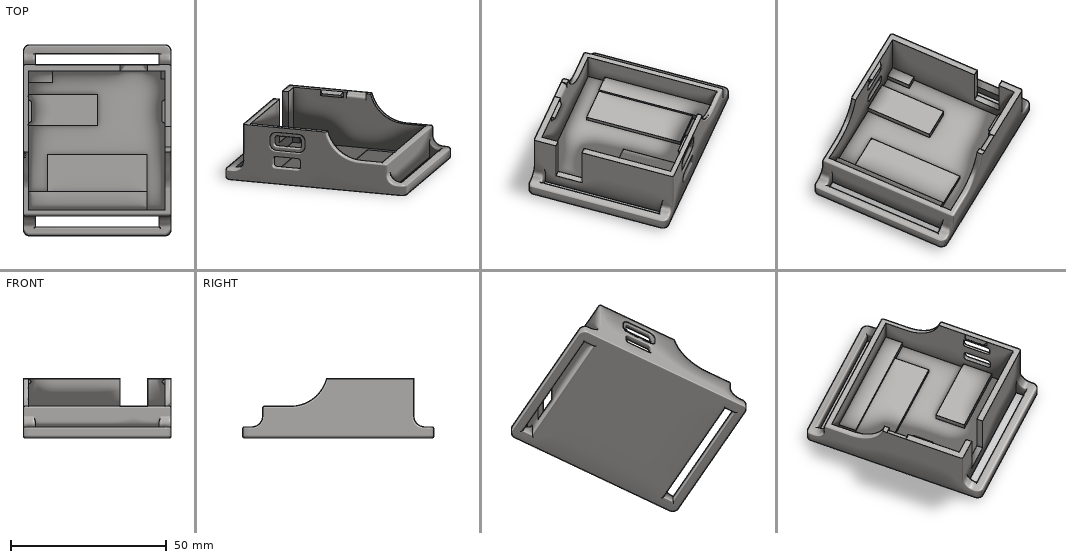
import cadquery as cq
import math

width = 47.45
length = 61.4
height = 19.1
half_width = width / 2
half_length = length / 2

tolerance = 0.03

bar_height = 3.6
slot_width = 3.45
bar_width = 2.95
slot_outer = half_length - bar_width
body_half_length = slot_outer - slot_width
low_wall_height = 10.25
scoop_radius = 11.85
scoop_start_y = -15.2
corner_radius = 2.1
edge_radius = 0.7

slot_half_span = 19.8

floor_thickness = 1.0
end_wall = 2.0
left_wall = 1.6
right_wall = 2.0
cavity_left = -half_width + left_wall
cavity_right = half_width - right_wall
cavity_half_length = body_half_length - end_wall

pad_height = 1.85
low_pad_height = 1.2
left_pad_end = 0.1
left_pad_front = 4.85
left_pad_rear = 14.8
left_corner_pad_end = -14.35
left_corner_pad_front = 18.65
right_corner_pad_start = 20.5
right_corner_pad_front = 19.75
front_pads_half_width = 15.95
front_pad_rear = -16.45
low_pad_rear = -4.6

notch_left = 7.35
notch_right = 16.2
notch_floor = 4.6

rim_radius = 0.5
window_corner = 1.0
lower_window_center = (9.7, 7.4)
lower_window_size = (9.2, 3.6)
upper_window_center = (9.45, 14.3)
upper_window_size = (9.15, 3.45)
recess_size = (11.85, 6.1)
recess_corner = 2.2
recess_depth = 0.505

snap_center_y = 9.25
snap_tip_length = 6.25
snap_taper = 0.75
snap_reach = 1.0
snap_center_z = height - snap_reach

relief_front = -2.15
relief_rear = 4.4


def box(x_range, y_range, z_range):
    """Axis-aligned block between the given limits."""
    size = [high - low for low, high in (x_range, y_range, z_range)]
    corner = cq.Vector(x_range[0], y_range[0], z_range[0])
    return cq.Workplane(cq.Solid.makeBox(*size, corner))


def point_on_circle(center_y, center_z, radius, angle):
    """Point on a circle in the YZ plane at an angle in degrees."""
    turn = math.radians(angle)
    return (center_y + radius * math.cos(turn), center_z + radius * math.sin(turn))


def outer_body():
    """Side outline swept across the width, with its outer edges rounded."""
    arc_top = bar_height + slot_width
    scoop_center_z = low_wall_height + scoop_radius
    scoop_drop = scoop_center_z - height
    scoop_top_y = scoop_start_y + math.sqrt(scoop_radius**2 - scoop_drop**2)
    scoop_end_angle = -math.degrees(math.asin(scoop_drop / scoop_radius))
    scoop_mid_angle = (scoop_end_angle - 90) / 2
    body = (
        cq.Workplane("YZ", origin=(-half_width, 0, 0))
        .moveTo(-half_length, 0)
        .lineTo(half_length, 0)
        .lineTo(half_length, bar_height)
        .lineTo(slot_outer, bar_height)
        .threePointArc(point_on_circle(slot_outer, arc_top, slot_width, 225), (body_half_length, arc_top))
        .lineTo(body_half_length, height)
        .lineTo(scoop_top_y, height)
        .threePointArc(
            point_on_circle(scoop_start_y, scoop_center_z, scoop_radius, scoop_mid_angle),
            (scoop_start_y, low_wall_height),
        )
        .lineTo(-body_half_length, low_wall_height)
        .lineTo(-body_half_length, arc_top)
        .threePointArc(point_on_circle(-slot_outer, arc_top, slot_width, -45), (-slot_outer, bar_height))
        .lineTo(-half_length, bar_height)
        .close()
        .extrude(width)
    )
    body = body.faces("<Y or >Y").edges("|Z").fillet(corner_radius)
    side_edges = body.faces("<X or >X").edges("not(|Z and (<Y or >Y))")
    rounded = [edge for edge in side_edges.vals() if is_rounded_side_edge(edge)]
    rounded += body.faces("<Z").edges("|X").vals()
    rounded += body.faces("<Y or >Y").edges("|X and >Z").vals()
    front_wall_edge = cq.selectors.NearestToPointSelector((0, -body_half_length, low_wall_height))
    rounded += body.edges(front_wall_edge).vals()
    return body.newObject(rounded).fillet(edge_radius)


def is_rounded_side_edge(edge):
    """True for side edges other than the rim and the seams of the plan corners."""
    center = edge.Center()
    on_rim = center.z > height - tolerance
    beside_corner = abs(center.y) > half_length - corner_radius - tolerance
    between_bar_faces = tolerance < center.z < bar_height - tolerance
    on_corner_seam = beside_corner and between_bar_faces
    return not on_rim and not on_corner_seam


def slab(body, y_range):
    """Piece of the body between two Y limits."""
    return body.intersect(box((-half_width, half_width), y_range, (0, height)))


def open_strap_slots(body):
    """Open a slot at each end, keeping a bar outside it, and round the edges a strap runs over."""
    slot_ceiling = low_wall_height - 2 * edge_radius
    ears = body
    for side in (-1, 1):
        limits = sorted((side * (body_half_length - end_wall / 2), side * half_length))
        ears = ears.cut(box((-slot_half_span, slot_half_span), limits, (0, slot_ceiling)))
    ear_edges = [edge for edge in ears.edges("%CIRCLE").vals()
                 if math.isclose(abs(edge.Center().x), slot_half_span)]
    ears = ears.newObject(ear_edges).fillet(edge_radius)
    core = slab(body, (-body_half_length, body_half_length))
    rear_bar = slab(body, (slot_outer, half_length))
    front_bar = slab(body, (-half_length, -slot_outer))
    front_bar = front_bar.faces(">Y").edges(">Z").fillet(edge_radius)
    slotted = ears.union(core).union(rear_bar).union(front_bar).clean()
    slot_rims = [edge for rim in slotted.faces("<Z").val().innerWires() for edge in rim.Edges()]
    return slotted.newObject(slot_rims).fillet(edge_radius)


def cut_window(body, center, size, corner, surface_x, depth):
    """Rounded window cut inward from surface_x, with a rounded-over rim."""
    cutter = (
        cq.Workplane("YZ", origin=(surface_x, *center))
        .rect(*size)
        .extrude(depth)
        .edges("|X")
        .fillet(corner)
    )
    opened = body.cut(cutter)
    reach_y = size[0] / 2 + tolerance
    reach_z = size[1] / 2 + tolerance
    rim = opened.edges(cq.selectors.BoxSelector(
        (surface_x - tolerance, center[0] - reach_y, center[1] - reach_z),
        (surface_x + tolerance, center[0] + reach_y, center[1] + reach_z),
        boundingbox=True,
    ))
    return rim.fillet(rim_radius)


def snap_ridge(wall_x, inward):
    """Triangular ridge with tapered ends, pointing inward from a wall."""
    tip_x = wall_x + inward * snap_reach
    half_tip = snap_tip_length / 2
    half_base = half_tip + snap_taper
    section = (
        cq.Workplane("XZ", origin=(0, snap_center_y + half_base, 0))
        .polyline([
            (wall_x, snap_center_z - snap_reach),
            (tip_x, snap_center_z),
            (wall_x, snap_center_z + snap_reach),
        ])
        .close()
        .extrude(2 * half_base)
    )
    plan = (
        cq.Workplane("XY")
        .polyline([
            (wall_x, snap_center_y - half_base),
            (tip_x, snap_center_y - half_tip),
            (tip_x, snap_center_y + half_tip),
            (wall_x, snap_center_y + half_base),
        ])
        .close()
        .extrude(height)
    )
    return section.intersect(plan)


def floor_pads():
    """Raised pads on the cavity floor."""
    placements = (
        ((cavity_left, left_pad_end), (left_pad_front, left_pad_rear), pad_height),
        ((cavity_left, left_corner_pad_end), (left_corner_pad_front, cavity_half_length), pad_height),
        ((right_corner_pad_start, cavity_right), (right_corner_pad_front, cavity_half_length), pad_height),
        ((-front_pads_half_width, front_pads_half_width), (front_pad_rear, low_pad_rear), low_pad_height),
        ((cavity_left, front_pads_half_width), (-cavity_half_length, front_pad_rear), pad_height),
    )
    return [box(x_range, y_range, (floor_thickness, floor_thickness + rise))
            for x_range, y_range, rise in placements]


def rim_relief():
    """Waste that leaves a quarter-round top on the right wall, falling towards the cavity."""
    root_z = height - right_wall
    block = box((cavity_right, half_width), (relief_front, relief_rear), (root_z, height))
    kept_round = (
        cq.Workplane("XZ", origin=(half_width, relief_rear, root_z))
        .circle(right_wall)
        .extrude(relief_rear - relief_front)
    )
    return block.cut(kept_round)


cavity = box(
    (cavity_left, cavity_right), (-cavity_half_length, cavity_half_length), (floor_thickness, height))
notch = box((notch_left, notch_right), (cavity_half_length, body_half_length), (notch_floor, height))
left_face = -half_width
recess_face = left_face + recess_depth

result = open_strap_slots(outer_body()).cut(cavity)
for pad in floor_pads():
    result = result.union(pad)
result = result.cut(notch)
result = cut_window(result, lower_window_center, lower_window_size, window_corner, left_face, left_wall)
result = cut_window(result, upper_window_center, recess_size, recess_corner, left_face, recess_depth)
result = cut_window(result, upper_window_center, upper_window_size, window_corner,
                    recess_face, left_wall - recess_depth)
result = result.union(snap_ridge(cavity_left, 1)).union(snap_ridge(cavity_right, -1))
result = result.cut(rim_relief())